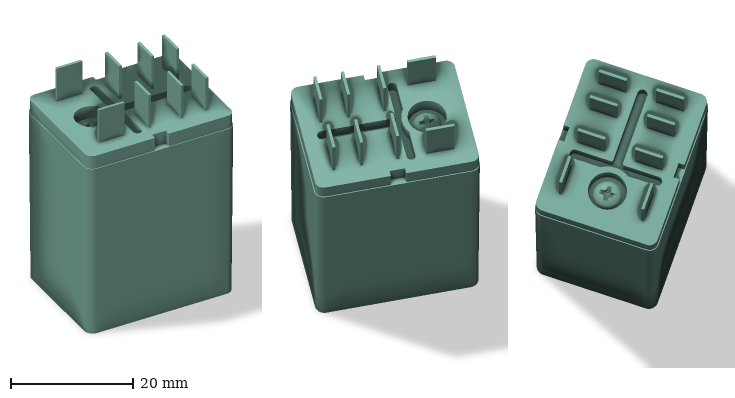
import cadquery as cq
import math

CASE_LENGTH = 27.72
CASE_WIDTH = 21.27
CASE_HEIGHT = 32.25
CASE_CORNER = 1.55
CASE_BOTTOM_INSET = 0.2
HEADER_INSET = 0.15
HEADER_HEIGHT = 2.45
HEADER_TOP = CASE_HEIGHT + HEADER_HEIGHT
OVERALL_HEIGHT = 41.05

NOTCH_WIDTH = 2.6
NOTCH_DEPTH = 1.03

BLADE_LENGTH = 4.75
BLADE_THICKNESS = 0.5
BLADE_HEIGHT = OVERALL_HEIGHT - HEADER_TOP
BLADE_X = 4.95
CONTACT_ROWS_Y = (10.15, 5.5, -0.55)
COIL_Y = -7.7
COIL_X = BLADE_X + (BLADE_LENGTH - BLADE_THICKNESS) / 2

GROOVE_DEPTH = 2.05
STEM_WIDTH = 1.7
STEM_END_Y = 11.35
BAR_WIDTH = 1.5
BAR_LENGTH = 15.95
BAR_Y = -2.8
GROOVE_FILLET = 0.3

SCREW_Y = -7.05
WELL_RADIUS = 3.2
WELL_DEPTH = HEADER_HEIGHT
WELL_WALL = 1.03
HEAD_RADIUS = 2.35
HEAD_SHOULDER_RADIUS = 2.05
HEAD_SIDE_HEIGHT = 0.4
HEAD_SHOULDER_RISE = 0.3
HEAD_HEIGHT = 1.15
WELL_FLOOR = HEADER_TOP - WELL_DEPTH

RECESS_SPAN = 3.12
RECESS_ARM_WIDTH = 0.75
RECESS_ARM_DEPTH = 0.95
RECESS_ARM_INNER_RADIUS = 0.7
RECESS_CORE_DEPTH = 1.0
RECESS_CORE_TOP_RADIUS = 0.8
RECESS_CORE_FLOOR_RADIUS = 0.55


def rounded_rectangle(width, length):
    return cq.Sketch().rect(width, length).vertices().fillet(CASE_CORNER)


def make_case():
    """Cover with constant corner radius, narrowing from the seam down to the bottom."""
    bottom_width = CASE_WIDTH - 2 * CASE_BOTTOM_INSET
    bottom_length = CASE_LENGTH - 2 * CASE_BOTTOM_INSET
    bottom = rounded_rectangle(bottom_width, bottom_length)
    seam = rounded_rectangle(CASE_WIDTH, CASE_LENGTH).moved(cq.Location(cq.Vector(0, 0, CASE_HEIGHT)))
    return cq.Workplane("XY").placeSketch(bottom, seam).loft()


def make_header():
    """Terminal plate set slightly inside the cover, with a notch in each long side."""
    width = CASE_WIDTH - 2 * HEADER_INSET
    length = CASE_LENGTH - 2 * HEADER_INSET
    plate = (
        cq.Workplane("XY", origin=(0, 0, CASE_HEIGHT))
        .rect(width, length)
        .extrude(HEADER_HEIGHT)
        .edges("|Z")
        .fillet(CASE_CORNER - HEADER_INSET)
    )
    notches = (
        cq.Workplane("XY", origin=(0, 0, CASE_HEIGHT))
        .pushPoints([(-width / 2, 0), (width / 2, 0)])
        .rect(2 * NOTCH_DEPTH, NOTCH_WIDTH)
        .extrude(HEADER_HEIGHT)
    )
    return plate.cut(notches)


def make_blades():
    """Six contact blades along X and two coil blades along Y."""
    top_plane = cq.Workplane("XY", origin=(0, 0, HEADER_TOP))
    contact_points = [(side * BLADE_X, y) for side in (-1, 1) for y in CONTACT_ROWS_Y]
    coil_points = [(side * COIL_X, COIL_Y) for side in (-1, 1)]
    contacts = top_plane.pushPoints(contact_points).rect(BLADE_LENGTH, BLADE_THICKNESS).extrude(BLADE_HEIGHT)
    coils = top_plane.pushPoints(coil_points).rect(BLADE_THICKNESS, BLADE_LENGTH).extrude(BLADE_HEIGHT)
    return contacts.add(coils).combine()


def make_groove():
    """T-shaped groove with round ends, its bar bowed around the screw well."""
    floor = cq.Workplane("XY", origin=(0, 0, HEADER_TOP - GROOVE_DEPTH))
    stem_length = STEM_END_Y - BAR_Y + STEM_WIDTH / 2
    stem_y = STEM_END_Y - stem_length / 2
    stem = floor.center(0, stem_y).slot2D(stem_length, STEM_WIDTH, 90).extrude(GROOVE_DEPTH)
    bar = floor.center(0, BAR_Y).slot2D(BAR_LENGTH, BAR_WIDTH).extrude(GROOVE_DEPTH)
    well_wall = floor.center(0, SCREW_Y).circle(WELL_RADIUS + WELL_WALL).extrude(GROOVE_DEPTH)
    inner_corner = BAR_Y + BAR_WIDTH / 2
    corner_zone = cq.selectors.BoxSelector(
        (-STEM_WIDTH, inner_corner - GROOVE_FILLET, 0),
        (STEM_WIDTH, inner_corner + GROOVE_FILLET, OVERALL_HEIGHT),
    )
    return bar.union(stem).edges("|Z").edges(corner_zone).fillet(GROOVE_FILLET).cut(well_wall)


def make_well():
    """Round well around the screw head, as deep as the header."""
    return cq.Workplane("XY", origin=(0, SCREW_Y, WELL_FLOOR)).circle(WELL_RADIUS).extrude(WELL_DEPTH)


def make_screw():
    """Domed screw head standing on the well floor, with a cross recess."""
    shoulder_height = HEAD_SIDE_HEIGHT + HEAD_SHOULDER_RISE
    dome_rise = HEAD_HEIGHT - shoulder_height
    dome_radius = (HEAD_SHOULDER_RADIUS**2 + dome_rise**2) / (2 * dome_rise)
    mid_radius = HEAD_SHOULDER_RADIUS / 2
    mid_height = HEAD_HEIGHT - dome_radius + math.sqrt(dome_radius**2 - mid_radius**2)
    head = (
        cq.Workplane("XZ")
        .lineTo(HEAD_RADIUS, 0)
        .lineTo(HEAD_RADIUS, HEAD_SIDE_HEIGHT)
        .lineTo(HEAD_SHOULDER_RADIUS, shoulder_height)
        .threePointArc((mid_radius, mid_height), (0, HEAD_HEIGHT))
        .close()
        .revolve(360, (0, 0, 0), (0, 1, 0))
    )
    slot = (
        cq.Workplane("XZ", origin=(0, RECESS_ARM_WIDTH / 2, 0))
        .moveTo(-RECESS_SPAN / 2, HEAD_HEIGHT)
        .lineTo(RECESS_SPAN / 2, HEAD_HEIGHT)
        .lineTo(RECESS_ARM_INNER_RADIUS, HEAD_HEIGHT - RECESS_ARM_DEPTH)
        .lineTo(-RECESS_ARM_INNER_RADIUS, HEAD_HEIGHT - RECESS_ARM_DEPTH)
        .close()
        .extrude(RECESS_ARM_WIDTH)
    )
    core = (
        cq.Workplane("XY", origin=(0, 0, HEAD_HEIGHT))
        .circle(RECESS_CORE_TOP_RADIUS)
        .workplane(offset=-RECESS_CORE_DEPTH)
        .circle(RECESS_CORE_FLOOR_RADIUS)
        .loft()
    )
    cross_slot = slot.rotate((0, 0, 0), (0, 0, 1), 90)
    return head.cut(slot).cut(cross_slot).cut(core).translate((0, SCREW_Y, WELL_FLOOR))


body = make_case().union(make_header())
result = body.cut(make_groove()).cut(make_well()).union(make_screw()).union(make_blades())